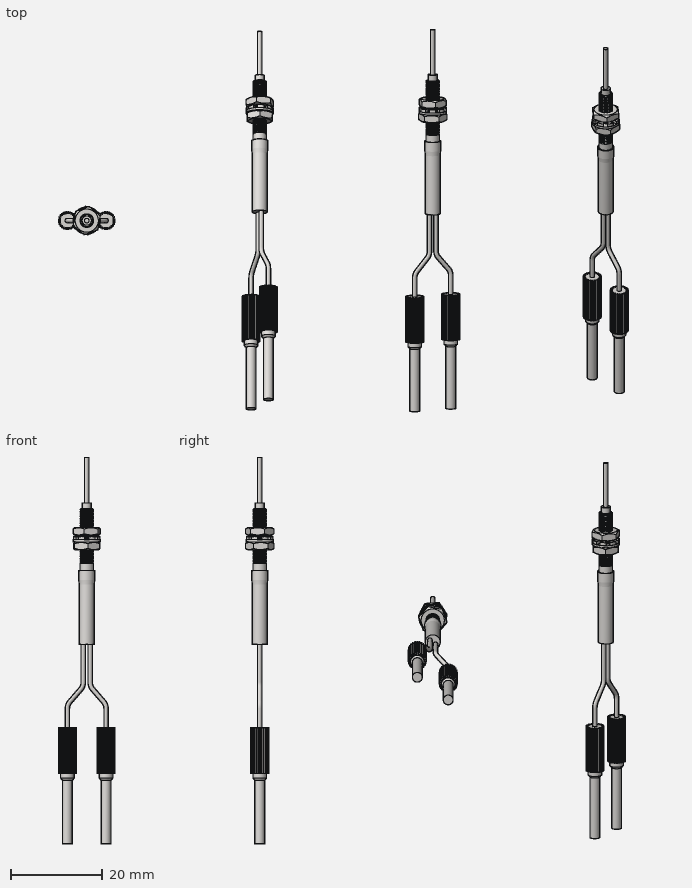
import cadquery as cq
import math

plug_knurl_bottom = 15.45
plug_knurl_top = 25.55
cable_split = 35.4
sleeve_bottom = 43.8
taper_bottom = 56.9
taper_top = 57.9
sleeve_top = 60.0
thread_bottom = 61.55
thread_top = 73.6
ferrule_top = 74.9
fibre_tip = 84.9

sleeve_diameter = 3.3
sleeve_head_diameter = 3.6
thread_diameter = 3.0
thread_pitch = 0.38
thread_depth = 0.2
thread_chamfer = 0.2
ferrule_diameter = 2.0
fibre_diameter = 1.0

cable_diameter = 1.0
cable_offset = 0.8
bend_radius = 2.2
bend_angle = math.radians(41)

plug_offset = 4.25
knurl_diameter = 4.0
knurl_depth = 0.4
tooth_count = 24
tooth_crest_share = 0.4
collar_diameter = 3.05
collar_bottom = 14.4
collar_taper_bottom = 13.9
tube_diameter = 2.2

nut_corner_diameter = 6.4
nut_chamfer_diameter = 5.1
nut_height = 1.8
nut_chamfer_angle = math.radians(30)
lower_nut_bottom = 64.5
lower_nut_turn = 34
upper_nut_turn = 20
washer_diameter = 6.0
washer_bore = 3.2
washer_ring_height = 0.5
washer_tooth_diameter = 5.95
washer_tooth_height = 0.7
washer_gap_count = 8
washer_gap_width = 0.85
washer_play = 0.25

washer_bottom = lower_nut_bottom + nut_height
upper_nut_bottom = washer_bottom + washer_ring_height + washer_tooth_height + washer_play


def cylinder(diameter, bottom, top):
    """Solid cylinder on the Z axis between two heights."""
    return cq.Workplane("XY", origin=(0, 0, bottom)).circle(diameter / 2).extrude(top - bottom)


def revolve_profile(points):
    """Solid of revolution about Z from (radius, height) points."""
    return cq.Workplane("XZ").polyline(points).close().revolve(360, (0, 0), (0, 1))


def make_barrel():
    """Stepped barrel: sleeve, threaded length with V-shaped ridges, ferrule and fibre."""
    sleeve_radius = sleeve_diameter / 2
    head_radius = sleeve_head_diameter / 2
    crest_radius = thread_diameter / 2
    root_radius = crest_radius - thread_depth
    ferrule_radius = ferrule_diameter / 2
    fibre_radius = fibre_diameter / 2

    points = [
        (0, sleeve_bottom),
        (sleeve_radius, sleeve_bottom),
        (sleeve_radius, taper_bottom),
        (head_radius, taper_top),
        (head_radius, sleeve_top),
        (crest_radius, sleeve_top),
        (crest_radius, thread_bottom),
    ]
    groove_count = int((thread_top - thread_chamfer - thread_bottom) / thread_pitch)
    for groove in range(groove_count):
        groove_start = thread_bottom + groove * thread_pitch
        points.append((root_radius, groove_start + thread_pitch / 2))
        points.append((crest_radius, groove_start + thread_pitch))
    points += [
        (crest_radius, thread_top - thread_chamfer),
        (crest_radius - thread_chamfer, thread_top),
        (ferrule_radius, thread_top),
        (ferrule_radius, ferrule_top),
        (fibre_radius, ferrule_top),
        (fibre_radius, fibre_tip),
        (0, fibre_tip),
    ]
    return revolve_profile(points)


def make_cable(side):
    """One cable: straight down, out along an S-bend, and down onto its plug."""
    bend_x = bend_radius * (1 - math.cos(bend_angle))
    bend_z = bend_radius * math.sin(bend_angle)
    half_bend_x = bend_radius * (1 - math.cos(bend_angle / 2))
    half_bend_z = bend_radius * math.sin(bend_angle / 2)
    slope_x = plug_offset - cable_offset - 2 * bend_x
    slope_z = slope_x / math.tan(bend_angle)
    bend_end = cable_split - 2 * bend_z - slope_z

    path = (
        cq.Workplane("XZ")
        .moveTo(side * cable_offset, sleeve_bottom)
        .lineTo(side * cable_offset, cable_split)
        .threePointArc(
            (side * (cable_offset + half_bend_x), cable_split - half_bend_z),
            (side * (cable_offset + bend_x), cable_split - bend_z),
        )
        .lineTo(side * (plug_offset - bend_x), bend_end + bend_z)
        .threePointArc(
            (side * (plug_offset - half_bend_x), bend_end + half_bend_z),
            (side * plug_offset, bend_end),
        )
        .lineTo(side * plug_offset, plug_knurl_top)
    )
    start = cq.Workplane("XY", origin=(side * cable_offset, 0, sleeve_bottom))
    return start.circle(cable_diameter / 2).sweep(path)


def make_probe():
    probe = make_barrel()
    for side in (-1, 1):
        probe = probe.union(make_cable(side))
    return probe


def make_knurl():
    """Grip with straight flat-topped teeth and V-shaped grooves, a groove facing each axis."""
    pitch_angle = 2 * math.pi / tooth_count
    crest_angle = tooth_crest_share * pitch_angle
    outer_radius = knurl_diameter / 2
    root_radius = outer_radius - knurl_depth

    points = []
    for tooth in range(tooth_count):
        groove_angle = tooth * pitch_angle
        crest_middle = groove_angle + pitch_angle / 2
        for radius, angle in (
            (root_radius, groove_angle),
            (outer_radius, crest_middle - crest_angle / 2),
            (outer_radius, crest_middle + crest_angle / 2),
        ):
            points.append((radius * math.cos(angle), radius * math.sin(angle)))
    outline = cq.Workplane("XY", origin=(0, 0, plug_knurl_bottom)).polyline(points).close()
    return outline.extrude(plug_knurl_top - plug_knurl_bottom)


def make_plug(side):
    """Knurled grip with a collar and a long tube below it."""
    stem = revolve_profile(
        [
            (0, 0),
            (tube_diameter / 2, 0),
            (tube_diameter / 2, collar_taper_bottom),
            (collar_diameter / 2, collar_bottom),
            (collar_diameter / 2, plug_knurl_bottom),
            (0, plug_knurl_bottom),
        ]
    )
    return stem.union(make_knurl()).translate((side * plug_offset, 0, 0))


def make_nut(bottom, turn):
    """Hexagon nut with its corners chamfered at both ends."""
    corner_radius = nut_corner_diameter / 2
    chamfer_radius = nut_chamfer_diameter / 2
    chamfer_height = (corner_radius - chamfer_radius) * math.tan(nut_chamfer_angle)
    hexagon = cq.Workplane("XY").polygon(6, nut_corner_diameter).extrude(nut_height)
    envelope = revolve_profile(
        [
            (0, 0),
            (chamfer_radius, 0),
            (corner_radius, chamfer_height),
            (corner_radius, nut_height - chamfer_height),
            (chamfer_radius, nut_height),
            (0, nut_height),
        ]
    )
    bore = cylinder(thread_diameter, 0, nut_height)
    nut = hexagon.intersect(envelope).cut(bore)
    return nut.rotate((0, 0, 0), (0, 0, 1), turn).translate((0, 0, bottom))


def make_washer():
    """Flat ring with a slightly smaller crown of teeth, parted by radial gaps, on its upper face."""
    washer_height = washer_ring_height + washer_tooth_height
    crown = cylinder(washer_tooth_diameter, washer_ring_height, washer_height)
    gap = cq.Workplane("XY", origin=(0, 0, washer_ring_height)).box(
        washer_tooth_diameter, washer_gap_width, washer_tooth_height, centered=(False, True, False)
    )
    for index in range(washer_gap_count):
        turn = index * 360 / washer_gap_count
        crown = crown.cut(gap.rotate((0, 0, 0), (0, 0, 1), turn))
    ring = cylinder(washer_diameter, 0, washer_ring_height)
    bore = cylinder(washer_bore, 0, washer_height)
    return ring.union(crown).cut(bore).translate((0, 0, washer_bottom))


probe = make_probe()
plugs = [make_plug(side) for side in (-1, 1)]
lower_nut = make_nut(lower_nut_bottom, lower_nut_turn)
upper_nut = make_nut(upper_nut_bottom, upper_nut_turn)
washer = make_washer()

result = cq.Compound.makeCompound(
    [
        probe.val(),
        *[plug.val() for plug in plugs],
        lower_nut.val(),
        upper_nut.val(),
        washer.val(),
    ]
)